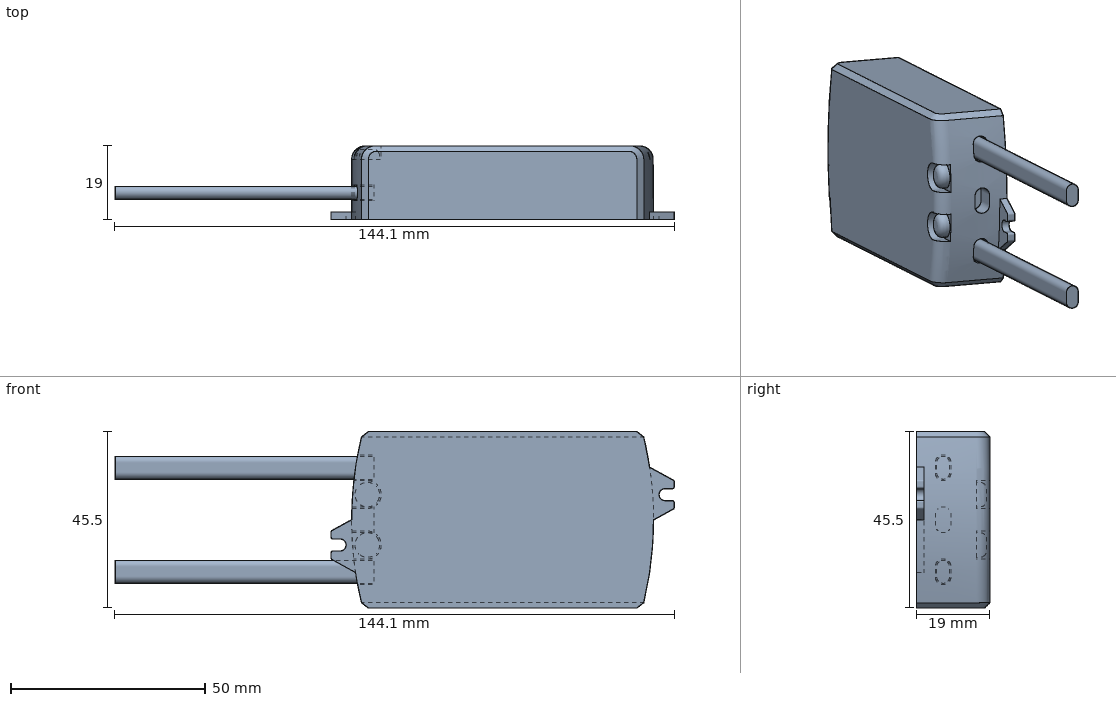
import cadquery as cq

DEPTH = 19.0
WIDTH = 45.5
HALF_LENGTH_MIDDLE = 38.9
HALF_LENGTH_CORNER = 36.0
END_ROUND = 3.5
EDGE_CHAMFER = 1.5

EAR_REACH = 44.2
EAR_OFFSET = 6.5
EAR_THICKNESS = 2.0
EAR_TIP_WIDTH = 7.2
EAR_FLANK_SLOPE = 0.55
EAR_SLOT_WIDTH = 3.0
EAR_SLOT_DEPTH = 3.9
EAR_TIP_ROUND = 0.6

TOTAL_LENGTH = 144.1
WIRE_THICKNESS = 3.3
WIRE_WIDTH = 5.9
PORT_CLEARANCE = 0.36
PORT_PITCH = 13.4
PORT_HEIGHT = 6.9
PORT_DEPTH = 5.8
PORT_FLOOR_X = PORT_DEPTH - HALF_LENGTH_MIDDLE

SCREW_OFFSET = 6.5
SCREW_INSET = 4.0
SCREW_X = SCREW_INSET - HALF_LENGTH_MIDDLE
RECESS_WIDTH = 7.2
RECESS_DEPTH = END_ROUND
HEAD_DIAMETER = 6.3
HEAD_HEIGHT = 2.6
HEAD_ROUND = 1.7


def facing_plane(y):
    """Sketch plane along X and Z at height y; its normal is -Y, so extrude(-d) runs towards +Y."""
    return cq.Workplane("XZ", origin=(0, y, 0))


def housing():
    half_width = WIDTH / 2
    body = (
        facing_plane(0)
        .moveTo(-HALF_LENGTH_CORNER, -half_width)
        .lineTo(HALF_LENGTH_CORNER, -half_width)
        .threePointArc((HALF_LENGTH_MIDDLE, 0), (HALF_LENGTH_CORNER, half_width))
        .lineTo(-HALF_LENGTH_CORNER, half_width)
        .threePointArc((-HALF_LENGTH_MIDDLE, 0), (-HALF_LENGTH_CORNER, -half_width))
        .close()
        .extrude(-DEPTH)
    )
    body = body.faces(">Y").edges("not(|X)").fillet(END_ROUND)
    return body.faces("<Z or >Z").edges("not(<Y)").chamfer(EDGE_CHAMFER)


def ear():
    """Slotted ear on the +X end; its root reaches inside the housing."""
    half_tip = EAR_TIP_WIDTH / 2
    root_x = HALF_LENGTH_CORNER
    half_root = half_tip + EAR_FLANK_SLOPE * (EAR_REACH - root_x)
    plate = (
        facing_plane(0)
        .polyline([(root_x, -half_root), (EAR_REACH, -half_tip), (EAR_REACH, half_tip), (root_x, half_root)])
        .close()
        .extrude(-EAR_THICKNESS)
    )
    slot = (
        facing_plane(0)
        .center(EAR_REACH, 0)
        .slot2D(2 * EAR_SLOT_DEPTH, EAR_SLOT_WIDTH)
        .extrude(-EAR_THICKNESS)
    )
    plate = plate.cut(slot).faces(">X").edges("|Y").fillet(EAR_TIP_ROUND)
    return plate.translate((0, 0, EAR_OFFSET))


def oblong_bar(thickness, width, z, start_x, end_x):
    """Round-edged flat bar along X, long across Z, at port height."""
    return (
        cq.Workplane("YZ", origin=(start_x, PORT_HEIGHT, z))
        .slot2D(width, thickness, 90)
        .extrude(end_x - start_x)
    )


def port(z):
    growth = 2 * PORT_CLEARANCE
    return oblong_bar(WIRE_THICKNESS + growth, WIRE_WIDTH + growth, z, -EAR_REACH, PORT_FLOOR_X)


def wire(z):
    return oblong_bar(WIRE_THICKNESS, WIRE_WIDTH, z, EAR_REACH - TOTAL_LENGTH, PORT_FLOOR_X)


def screw_recess(z):
    open_length = SCREW_X + EAR_REACH
    floor = facing_plane(DEPTH - RECESS_DEPTH).center(SCREW_X, z)
    seat = floor.circle(RECESS_WIDTH / 2).extrude(-RECESS_DEPTH)
    opening = floor.center(-open_length / 2, 0).rect(open_length, RECESS_WIDTH).extrude(-RECESS_DEPTH)
    return seat.union(opening)


def screw_head(z):
    floor = facing_plane(DEPTH - RECESS_DEPTH).center(SCREW_X, z)
    head = floor.circle(HEAD_DIAMETER / 2).extrude(-HEAD_HEIGHT)
    return head.faces(">Y").edges().fillet(HEAD_ROUND)


result = housing()

for turn in (0, 180):
    result = result.union(ear().rotate((0, 0, 0), (0, 1, 0), turn))

for z in (-PORT_PITCH, 0, PORT_PITCH):
    result = result.cut(port(z))

for z in (-PORT_PITCH, PORT_PITCH):
    result = result.union(wire(z))

for z in (-SCREW_OFFSET, SCREW_OFFSET):
    result = result.cut(screw_recess(z)).union(screw_head(z))